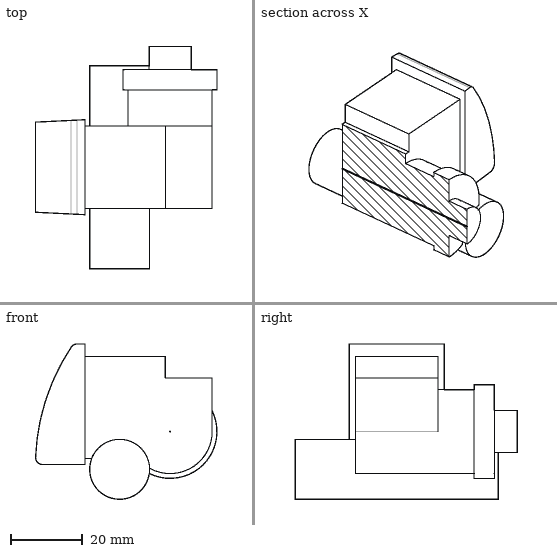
import cadquery as cq
import math


block_width = 23.0
block_left = -23.65
block_bottom = -7.55
block_top = 20.9
step_x = -1.3
step_z = 14.9
end_radius = 11.7

boss_radius = end_radius
boss_end = 21.55
flange_radius = 13.05
flange_end = 27.2
spigot_radius = 5.9
spigot_end = 33.6
pilot_diameter = 0.2

rod_radius = 8.35
rod_length = 56.6
rod_x = -14.05
rod_z = -10.5

pad_bottom = -9.2
pad_top = 24.4
pad_bottom_left = -37.5
pad_top_left = -26.9
pad_face_radius = 60.05
pad_corner_radius = 2.05
pad_back_width = 26.5
pad_front_width = 25.15


def cylinder_along_y(radius, y_start, y_end, x=0, z=0):
    """Solid cylinder parallel to Y between two Y positions."""
    return (
        cq.Workplane("XZ", origin=(x, y_start, z))
        .circle(radius)
        .extrude(y_start - y_end)
    )


def make_rod():
    """Plain round rod, centred on the block width."""
    return cylinder_along_y(rod_radius, -rod_length / 2, rod_length / 2, rod_x, rod_z)


def make_block(rod):
    """Stepped block with a rounded end, its flanged boss and a groove for the rod."""
    half_width = block_width / 2
    arc_end_x = -math.sqrt(end_radius**2 - block_bottom**2)
    profile = (
        cq.Workplane("XZ")
        .moveTo(block_left, block_bottom)
        .lineTo(block_left, block_top)
        .lineTo(step_x, block_top)
        .lineTo(step_x, step_z)
        .lineTo(end_radius, step_z)
        .lineTo(end_radius, 0)
        .threePointArc((0, -end_radius), (arc_end_x, block_bottom))
        .close()
    )
    block = profile.extrude(half_width, both=True)

    stages = [
        (boss_radius, half_width, boss_end),
        (flange_radius, boss_end, flange_end),
        (spigot_radius, flange_end, spigot_end),
    ]
    for radius, y_start, y_end in stages:
        block = block.union(cylinder_along_y(radius, y_start, y_end))

    pilot = cylinder_along_y(pilot_diameter / 2, -half_width, spigot_end)
    return block.cut(pilot).cut(rod)


def make_pad():
    """Pad with a curved front, rounded front corners and sides that taper to the front."""
    pad = (
        cq.Workplane("XZ")
        .moveTo(block_left, pad_bottom)
        .lineTo(pad_bottom_left, pad_bottom)
        .radiusArc((pad_top_left, pad_top), pad_face_radius)
        .lineTo(block_left, pad_top)
        .close()
        .extrude(pad_back_width / 2, both=True)
    )
    pad = pad.edges("|Y and (not >X)").fillet(pad_corner_radius)

    taper_envelope = (
        cq.Workplane("XY", origin=(0, 0, pad_bottom))
        .moveTo(block_left, -pad_back_width / 2)
        .lineTo(block_left, pad_back_width / 2)
        .lineTo(pad_bottom_left, pad_front_width / 2)
        .lineTo(pad_bottom_left, -pad_front_width / 2)
        .close()
        .extrude(pad_top - pad_bottom)
    )
    return pad.intersect(taper_envelope)


rod = make_rod()
block = make_block(rod)
pad = make_pad()

result = cq.Compound.makeCompound([pad.val(), block.val(), rod.val()])